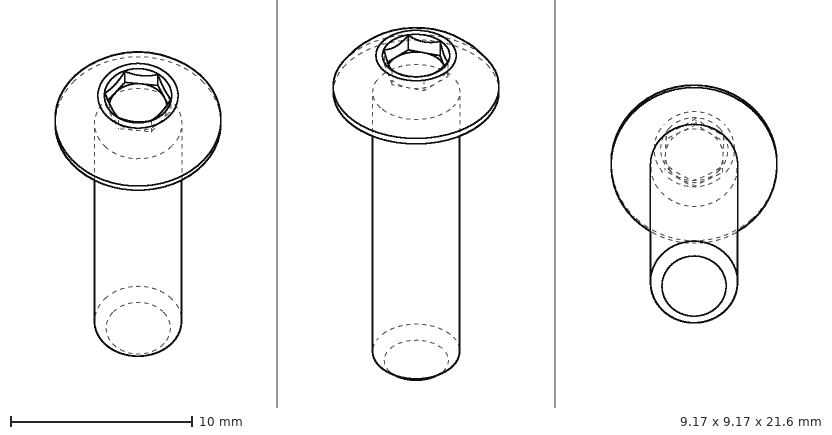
import cadquery as cq
import math

total_length = 21.62
head_diameter = 9.17
head_height = 2.57
rim_height = 0.39
crown_diameter = 4.43
shank_diameter = 4.82
tip_diameter = 3.55
tip_chamfer_height = 0.63

hex_across_flats = 3.18
socket_depth = 1.04
countersink_diameter = 3.72
countersink_slope = 45.0
drill_point_angle = 118.0

head_radius = head_diameter / 2
crown_radius = crown_diameter / 2
shank_radius = shank_diameter / 2
tip_radius = tip_diameter / 2
head_bottom = total_length - head_height
rim_top = head_bottom + rim_height


def dome_midpoint():
    """Point halfway along the dome arc, whose centre lies on the screw axis."""
    center_z = (
        (crown_radius**2 + total_length**2 - head_radius**2 - rim_top**2)
        / (2 * (total_length - rim_top))
    )
    dome_radius = math.hypot(head_radius, rim_top - center_z)
    rim_angle = math.atan2(rim_top - center_z, head_radius)
    crown_angle = math.atan2(total_length - center_z, crown_radius)
    angle = (rim_angle + crown_angle) / 2
    return dome_radius * math.cos(angle), center_z + dome_radius * math.sin(angle)


def make_body():
    """Domed head, shank and chamfered tip as one revolved profile."""
    return (
        cq.Workplane("XZ")
        .lineTo(tip_radius, 0)
        .lineTo(shank_radius, tip_chamfer_height)
        .lineTo(shank_radius, head_bottom)
        .lineTo(head_radius, head_bottom)
        .lineTo(head_radius, rim_top)
        .threePointArc(dome_midpoint(), (crown_radius, total_length))
        .lineTo(0, total_length)
        .close()
        .revolve(360, (0, 0), (0, 1))
    )


def make_cone(top_radius, top_z, depth):
    """Downward-pointing cone with its base at top_z."""
    return (
        cq.Workplane("XZ")
        .moveTo(0, top_z)
        .lineTo(top_radius, top_z)
        .lineTo(0, top_z - depth)
        .close()
        .revolve(360, (0, 0), (0, 1))
    )


def make_socket():
    """Hex recess with corners on the Y axis, a conical floor and a countersunk mouth."""
    hex_across_corners = hex_across_flats / math.cos(math.pi / 6)
    floor_z = total_length - socket_depth
    hexagon = (
        cq.Workplane("XY")
        .workplane(offset=floor_z)
        .transformed(rotate=(0, 0, 90))
        .polygon(6, hex_across_corners)
        .extrude(socket_depth)
    )
    drill_radius = hex_across_flats / 2
    drill_depth = drill_radius / math.tan(math.radians(drill_point_angle / 2))
    drill_point = make_cone(drill_radius, floor_z, drill_depth)
    countersink_radius = countersink_diameter / 2
    countersink_depth = countersink_radius * math.tan(math.radians(countersink_slope))
    countersink = make_cone(countersink_radius, total_length, countersink_depth)
    return hexagon.union(drill_point).union(countersink)


result = make_body().cut(make_socket())